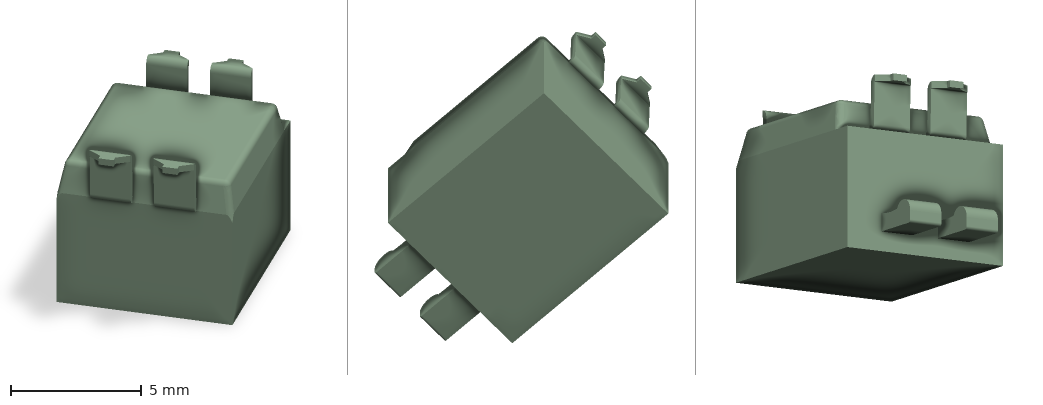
import cadquery as cq
import math

block_width = 7.0
block_depth = 8.14
block_height = 4.74
ledge_depth = 0.67
base_height = 1.25
base_side_inset = 0.23
base_end_inset = 0.32
base_edge_radius = 0.25

pitch = 2.54
position_xs = [-pitch / 2, pitch / 2]

lead_top = 6.95
lead_reach = 0.9
lead_lift = 0.02
lead_thickness = 0.25
foot_thickness = 0.27
lead_width = 1.62
lead_root_depth = 0.02
web_start = 0.06
web_lean = 0.05
low_bend_radius = 0.27
high_bend_radius = 0.29
inner_bend_radius = 0.03
foot_shoulder = 0.37
foot_neck = 0.68
foot_tip_width = 0.6

lever_width = 1.4
lever_reach = 2.11
lever_bottom = 0.77
lever_head_radius = 0.5
lever_head_top = 1.75
lever_toe_radius = 0.11
lever_root_top = 1.48
lever_dish_low = 1.42
lever_dish_reach = 0.67
lever_neck_reach = 1.15

base_depth = block_depth - ledge_depth


def make_block():
    """Block with its front face on Y = 0 and its underside on Z = 0."""
    return cq.Workplane("XY").box(
        block_width, block_depth, block_height, centered=(True, False, False)
    )


def make_tapered_base():
    return (
        cq.Workplane("XY")
        .workplane(offset=block_height)
        .center(0, base_depth / 2)
        .rect(block_width, base_depth)
        .workplane(offset=base_height)
        .rect(block_width - 2 * base_side_inset, base_depth - 2 * base_end_inset)
        .loft(ruled=True)
    )


def make_housing_shell():
    """Block and base in one piece, with the base's corner and top edges rounded."""
    shell = make_block().union(make_tapered_base())
    margin = 0.11
    upper_zone = cq.selectors.BoxSelector(
        (-block_width, -margin, block_height + margin),
        (block_width, block_depth, block_height + base_height + margin),
    )
    return shell.edges(upper_zone).fillet(base_edge_radius)


def make_front_lead(x):
    """Lead leaving the Y = 0 end of the base toward -Y, centred on x."""
    lead_bottom = block_height + lead_lift
    flange_top = lead_bottom + lead_thickness
    foot_bottom = lead_top - foot_thickness
    inner_low = -web_start
    inner_high = inner_low - web_lean
    strip = (
        cq.Workplane("YZ")
        .moveTo(lead_root_depth, lead_bottom)
        .lineTo(inner_low - lead_thickness, lead_bottom)
        .lineTo(inner_high - lead_thickness, foot_bottom)
        .lineTo(-lead_reach, foot_bottom)
        .lineTo(-lead_reach, lead_top)
        .lineTo(inner_high, lead_top)
        .lineTo(inner_low, flange_top)
        .lineTo(lead_root_depth, flange_top)
        .close()
        .extrude(lead_width / 2, both=True)
    )
    bends = [
        (inner_low - lead_thickness, lead_bottom, low_bend_radius),
        (inner_high, lead_top, high_bend_radius),
        (inner_high - lead_thickness, foot_bottom, inner_bend_radius),
    ]
    for bend_y, bend_z, radius in bends:
        corner = cq.selectors.NearestToPointSelector((0, bend_y, bend_z))
        strip = strip.edges("|X").edges(corner).fillet(radius)

    half_width = lead_width / 2
    half_tip = foot_tip_width / 2
    plan = (
        cq.Workplane("XY")
        .workplane(offset=lead_bottom)
        .polyline([
            (-half_width, lead_root_depth),
            (-half_width, -foot_shoulder),
            (-half_tip, -foot_neck),
            (-half_tip, -lead_reach),
            (half_tip, -lead_reach),
            (half_tip, -foot_neck),
            (half_width, -foot_shoulder),
            (half_width, lead_root_depth),
        ])
        .close()
        .extrude(lead_top - lead_bottom)
    )
    return strip.intersect(plan).translate((x, 0, 0))


def make_housing():
    housing = make_housing_shell()
    for x in position_xs:
        front_lead = make_front_lead(x)
        rear_lead = front_lead.mirror("XZ").translate((0, base_depth, 0))
        housing = housing.union(front_lead).union(rear_lead)
    return housing


def make_lever(x):
    """Lever standing on the block's +Y face, centred on x."""
    head_y = lever_reach - lever_head_radius
    head_z = lever_head_top - lever_head_radius
    neck_z = head_z + math.sqrt(lever_head_radius**2 - (head_y - lever_neck_reach) ** 2)
    lever = (
        cq.Workplane("YZ")
        .moveTo(0, lever_bottom)
        .lineTo(lever_reach, lever_bottom)
        .lineTo(lever_reach, head_z)
        .threePointArc((head_y, lever_head_top), (lever_neck_reach, neck_z))
        .threePointArc((lever_dish_reach, lever_dish_low), (0, lever_root_top))
        .close()
        .extrude(lever_width / 2, both=True)
        .edges("|X and >Y and <Z")
        .fillet(lever_toe_radius)
    )
    return lever.translate((x, block_depth, 0))


housing = make_housing()
levers = [make_lever(x) for x in position_xs]

result = cq.Compound.makeCompound([housing.val(), *[lever.val() for lever in levers]])